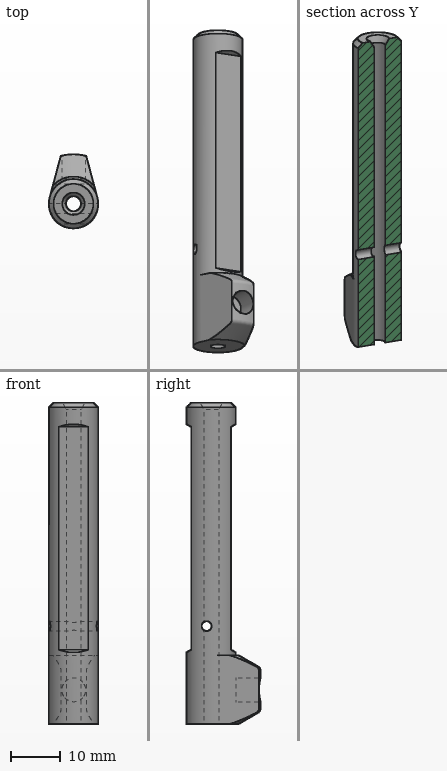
import cadquery as cq
import math

length = 65.0
shaft_radius = 5.0
top_chamfer = 1.0
bore_radius = 1.5
countersink_radius = 2.3
countersink_angle = 60.0

flat_offset = 4.0
flat_bottom = 15.1
flat_top = 60.05
flat_end_angle = 30.0

cross_hole_radius = 1.0
cross_hole_y = -0.9
cross_hole_z = 19.8

fin_height = 14.0
fin_reach = 10.0
fin_tip_height = 8.8
fin_edge_angle = 30.0
fin_tip_fillet = 1.0
fin_flank_angle = 15.0

tip_hole_radius = 2.4
tip_hole_depth = shaft_radius


def make_shaft():
    return cq.Workplane("XY").circle(shaft_radius).extrude(length).faces(">Z").chamfer(top_chamfer)


def make_fin():
    """Revolved disc with conical edges, trimmed to a wedge tangent to the shaft."""
    edge_drop = (fin_height - fin_tip_height) / 2
    cone_start = fin_reach - edge_drop / math.tan(math.radians(fin_edge_angle))
    disc = (
        cq.Workplane("XZ")
        .moveTo(0, 0)
        .lineTo(cone_start, 0)
        .lineTo(fin_reach, edge_drop)
        .lineTo(fin_reach, fin_height - edge_drop)
        .lineTo(cone_start, fin_height)
        .lineTo(0, fin_height)
        .close()
        .revolve(360, (0, 0, 0), (0, 1, 0))
    )
    tip_rims = cq.selectors.BoxSelector(
        (-2 * fin_reach, -2 * fin_reach, edge_drop / 2),
        (2 * fin_reach, 2 * fin_reach, fin_height - edge_drop / 2),
    )
    disc = disc.edges(tip_rims).edges("%CIRCLE").fillet(fin_tip_fillet)

    flank = math.radians(fin_flank_angle)
    tangent_x = shaft_radius * math.cos(flank)
    tangent_y = shaft_radius * math.sin(flank)
    end_x = tangent_x - (fin_reach - tangent_y) * math.tan(flank)
    wedge = (
        cq.Workplane("XY")
        .polyline([
            (0, 0),
            (tangent_x, tangent_y),
            (end_x, fin_reach),
            (-end_x, fin_reach),
            (-tangent_x, tangent_y),
        ])
        .close()
        .extrude(fin_height)
    )
    return disc.intersect(wedge)


def make_flat_cutter():
    """Trapezoidal cutter for the -Y flat, wider toward the outside of the shaft."""
    cut_depth = shaft_radius - flat_offset
    end_slope = cut_depth * math.tan(math.radians(flat_end_angle))
    return (
        cq.Workplane("YZ")
        .polyline([
            (-flat_offset, flat_bottom),
            (-shaft_radius, flat_bottom - end_slope),
            (-shaft_radius, flat_top + end_slope),
            (-flat_offset, flat_top),
        ])
        .close()
        .extrude(shaft_radius, both=True)
    )


def make_bore():
    """Through bore with a conical countersink at the top."""
    countersink_depth = (countersink_radius - bore_radius) / math.tan(math.radians(countersink_angle / 2))
    return (
        cq.Workplane("XZ")
        .polyline([
            (0, 0),
            (bore_radius, 0),
            (bore_radius, length - countersink_depth),
            (countersink_radius, length),
            (0, length),
        ])
        .close()
        .revolve(360, (0, 0, 0), (0, 1, 0))
    )


def make_cross_hole():
    return (
        cq.Workplane("YZ")
        .center(cross_hole_y, cross_hole_z)
        .circle(cross_hole_radius)
        .extrude(shaft_radius, both=True)
    )


def make_tip_hole():
    return (
        cq.Workplane("XZ", origin=(0, fin_reach, fin_height / 2))
        .circle(tip_hole_radius)
        .extrude(tip_hole_depth)
    )


front_flat = make_flat_cutter()
back_flat = front_flat.mirror("XZ")

result = make_shaft().cut(front_flat).cut(back_flat).union(make_fin())
for cutter in (make_bore(), make_cross_hole(), make_tip_hole()):
    result = result.cut(cutter)